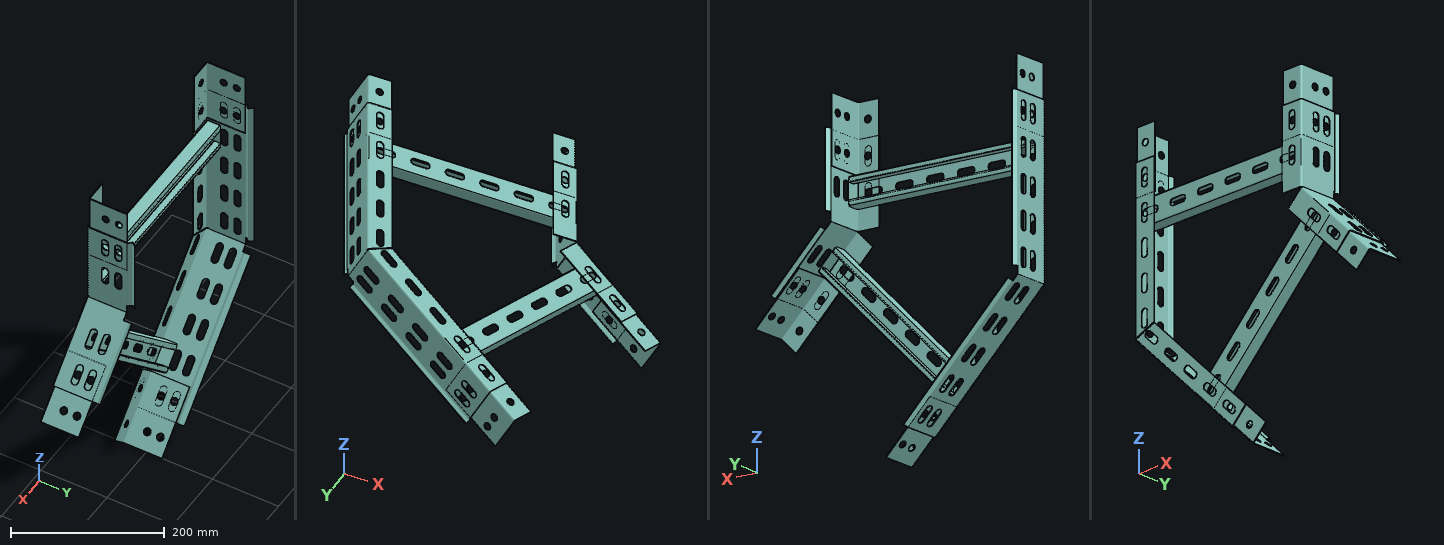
import cadquery as cq
import math


overall_height = 512.0
bend_angle = math.radians(45)
ladder_width = 304.0
sheet = 1.5
bend_radius = 3.0
inside_bend_radius = 0.5
fold_radius = 2.0

half_bend = math.tan(bend_angle / 2)
reach = (overall_height + sheet * math.sin(bend_angle)) / (1 + math.sin(bend_angle))
rail_pitches = 5
pitch = (reach - sheet * half_bend) / (rail_pitches + 1)
rail_top = reach - pitch
inner_corner = ladder_width * half_bend
connector_holes = 2
connector_length = connector_holes * pitch

web_depth = 60.5
flange_width = 35.5
lip_depth = 12.5
lip_bulge = 4.5
lip_neck = 1.5
lip_fold_radius = 1.5
lip_gap = 11.5
mitre_gap = 1.0

inner_rail_slots = 2
slot_length = 27.5
slot_width = 10.0
hole_diameter = 10.0
flange_hole_offset = 18.0
web_hole_offset = 27.5
web_hole_spacing = 20.0
web_hole_rows = (web_hole_offset, web_hole_offset + web_hole_spacing)

rung_width = 41.5
rung_depth = 21.5
rung_opening = 24.0
rung_return = 10.0
rung_slots = 6
rung_height = rail_top - 1.5 * pitch


def across_bend(body):
    """Mirror a body of the upper half into the lower half."""
    normal = cq.Vector(-math.sin(bend_angle / 2), 0, math.cos(bend_angle / 2))
    return body.mirror(normal, (0, 0, 0))


def to_inner_side(body):
    """Turn a body made for the outer rail into its opposite hand at the inner rail."""
    return body.mirror("YZ").translate((ladder_width, 0, 0))


def angle_bar(depth, width, bottom, top):
    """Upright folded angle: web along +Y from x = 0, flange along +X from y = 0."""
    inside_end = sheet + inside_bend_radius
    diagonal = math.sqrt(0.5)
    outside_mid = bend_radius * (1 - diagonal)
    inside_mid = sheet + inside_bend_radius * (1 - diagonal)
    return (
        cq.Workplane("XY", origin=(0, 0, bottom))
        .moveTo(0, depth)
        .lineTo(0, bend_radius)
        .threePointArc((outside_mid, outside_mid), (bend_radius, 0))
        .lineTo(width, 0)
        .lineTo(width, sheet)
        .lineTo(inside_end, sheet)
        .threePointArc((inside_mid, inside_mid), (sheet, inside_end))
        .lineTo(sheet, depth)
        .close()
        .extrude(top - bottom)
    )


def rail_lip(bottom, top):
    """V-shaped stiffening lip along the back edge of a rail web, bulging to the flange side."""
    neck = web_depth + lip_neck
    ridge = web_depth + lip_depth / 2
    back = web_depth + lip_depth
    lip = (
        cq.Workplane("XY", origin=(0, 0, bottom))
        .polyline([
            (0, web_depth),
            (0, neck),
            (lip_bulge, ridge),
            (0, back),
            (sheet, back),
            (lip_bulge + sheet, ridge),
            (sheet, neck),
            (sheet, web_depth),
        ])
        .close()
        .extrude(top - bottom)
    )
    folds = cq.selectors.BoxSelector(
        (-sheet, neck - sheet / 2, bottom), (lip_bulge + 2 * sheet, back - sheet / 2, top)
    )
    return lip.edges("|Z").edges(folds).fillet(lip_fold_radius)


def hole_heights(top, count):
    """Heights of openings spaced one pitch apart, the first half a pitch below the given top."""
    return [top - (i + 0.5) * pitch for i in range(count)]


def flange_cutters(heights, shape):
    """Cutters through a flange at the given heights; shape draws one opening on a workplane."""
    points = [(flange_hole_offset, height) for height in heights]
    plane = cq.Workplane("XZ", origin=(0, 2 * bend_radius, 0))
    return shape(plane.pushPoints(points)).extrude(2 * bend_radius)


def web_cutters(heights, shape):
    """Cutters through a web, two rows of openings at the given heights."""
    points = [(row, height) for row in web_hole_rows for height in heights]
    return shape(cq.Workplane("YZ").pushPoints(points)).extrude(2 * bend_radius)


def upright_slot(plane):
    return plane.slot2D(slot_length, slot_width, 90)


def round_hole(plane):
    return plane.circle(hole_diameter / 2)


def rail_blank(corner, slot_count):
    """Upper half of a rail in the outer hand, still unmitred; corner is its bend height."""
    heights = hole_heights(rail_top, slot_count)
    return (
        angle_bar(web_depth, flange_width, 0, rail_top)
        .union(rail_lip(corner + lip_gap, rail_top))
        .cut(flange_cutters(heights, upright_slot))
        .cut(web_cutters(heights, upright_slot))
    )


def below_bend():
    """Everything on the lower side of the bisecting plane."""
    far = 2 * ladder_width
    return (
        cq.Workplane("XZ", origin=(0, web_depth + lip_depth, 0))
        .polyline([(0, 0), (far, far * half_bend), (far, -far), (0, -far)])
        .close()
        .extrude(web_depth + lip_depth)
    )


def mitre_slit():
    """Upper half of the slit that parts the outer rail's flanges along the bisecting plane."""
    half_gap = mitre_gap / 2
    rise = flange_width * half_bend
    return (
        cq.Workplane("XZ", origin=(0, bend_radius, 0))
        .polyline([(0, 0), (flange_width, rise), (flange_width, rise + half_gap), (0, half_gap)])
        .close()
        .extrude(bend_radius)
    )


def fold_corner():
    """Upper half of the sharp corner that the web's fold at the bend takes off."""
    rise = fold_radius * half_bend
    plane = cq.Workplane("XZ", origin=(0, web_depth, 0))
    corner = plane.polyline([(0, 0), (0, rise), (fold_radius, rise)]).close().extrude(web_depth)
    round_web = plane.center(fold_radius, rise).circle(fold_radius).extrude(web_depth)
    return corner.cut(round_web)


def make_outer_rail():
    """The rail outside the bend: its web folds round and its flanges meet at a slit mitre."""
    half = rail_blank(0, rail_pitches).cut(below_bend()).cut(mitre_slit()).cut(fold_corner())
    return half.union(across_bend(half))


def make_inner_rail():
    """The rail inside the bend: the web runs on round it and the flange stops square."""
    beyond_corner = cq.Workplane("XY").box(flange_width, bend_radius, inner_corner, centered=False)
    blank = rail_blank(inner_corner, inner_rail_slots).cut(beyond_corner)
    half = to_inner_side(blank).cut(below_bend())
    return half.union(across_bend(half))


def make_connector():
    """Angle plate nested in a rail end, standing one pitch out of it (upper end, outer hand)."""
    heights = hole_heights(reach, connector_holes)
    plate = angle_bar(web_depth - sheet, flange_width - sheet, reach - connector_length, reach)
    return (
        plate.translate((sheet, sheet, 0))
        .cut(flange_cutters(heights, round_hole))
        .cut(web_cutters(heights, round_hole))
    )


def make_rung():
    """Slotted strut channel between the rail webs, its back against the rail flanges."""
    length = rung_slots * pitch
    end_clearance = (ladder_width - length) / 2
    half_width = rung_width / 2
    half_opening = rung_opening / 2
    section = [
        (0, half_width),
        (rung_depth, half_width),
        (rung_depth, half_opening),
        (rung_depth - rung_return, half_opening),
        (rung_depth - rung_return, half_opening + sheet),
        (rung_depth - sheet, half_opening + sheet),
        (rung_depth - sheet, half_width - sheet),
        (sheet, half_width - sheet),
    ]
    mirrored = [(y, -z) for y, z in reversed(section)]
    channel = cq.Workplane("YZ").polyline(section + mirrored).close().extrude(length)
    for side in (">Z", "<Z"):
        channel = channel.faces(side).edges("|X").fillet(bend_radius)
    slots = (
        cq.Workplane("XZ", origin=(length / 2, sheet, 0))
        .rarray(pitch, 5, rung_slots, 1)
        .slot2D(slot_length, slot_width)
        .extrude(sheet)
    )
    return channel.cut(slots).translate((end_clearance, sheet, rung_height))


outer_rail = make_outer_rail()
inner_rail = make_inner_rail()

connectors = []
for upper_connector in (make_connector(), to_inner_side(make_connector())):
    connectors.append(upper_connector.val())
    connectors.append(across_bend(upper_connector).val())

upper_rung = make_rung()
rungs = [upper_rung.val(), across_bend(upper_rung).val()]

result = cq.Compound.makeCompound([outer_rail.val(), inner_rail.val(), *connectors, *rungs])